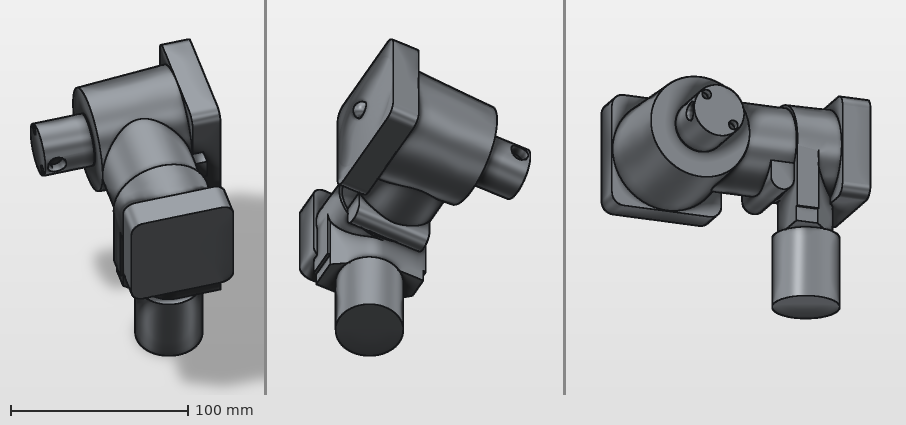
import cadquery as cq
import math


pipe_radius = 26.0
pipe_end = 58.2
lug_width = 14.0
lug_half_depth = 22.5
lug_bottom = -29.5

barrel_half_length = pipe_radius
barrel_front_radius = 29.9
barrel_back_radius = 32.7
boss_length = 0.5
flange_side = 66.3
flange_thickness = 16.5
corner_radius = 7.0
dome_rise = 2.2
button_radius = 5.0
button_wall_top = 45.4
button_top = 49.5
tab_end = 41.1
tab_back = 32.2
tab_height = 11.3

shaft_radius = 15.1
shaft_front = -55.2
cross_hole_radius = 5.4
cross_hole_depth = 6.7
cross_hole_from_end = 6.9
pin_hole_radius = 2.7
pin_hole_depth = 5.4
pin_hole_centers = [(-7.5, 8.6), (8.6, -7.7)]

collar_length = 26.4
collar_small_radius = 27.9
collar_large_radius = 28.4
plate_side = 60.0
socket_end = 101.5
bracket_half_width = pipe_radius
bracket_bottom = -48.5
bracket_front_length = 12.8
bracket_back_length = 16.7
bracket_round_radius = 15.5
cheek_half_width = 27.6
cheek_bottom = -40.0

post_center_x = 74.1
post_radius = 19.1
post_bottom = -89.7

flange_back = barrel_half_length + flange_thickness
dome_top = flange_back + dome_rise
shaft_back = -barrel_half_length - boss_length
plate_start = pipe_end + collar_length
bracket_center_x = pipe_end + bracket_round_radius
bracket_end = bracket_center_x + bracket_round_radius


def make_barrel():
    """Barrel that widens from its front face to the flange, with a short boss in front."""
    return (
        cq.Workplane("XY")
        .moveTo(0, shaft_back)
        .lineTo(shaft_radius, shaft_back)
        .lineTo(shaft_radius, -barrel_half_length)
        .lineTo(barrel_front_radius, -barrel_half_length)
        .lineTo(barrel_back_radius, barrel_half_length)
        .lineTo(0, barrel_half_length)
        .close()
        .revolve(360, (0, 0, 0), (0, 1, 0))
    )


def make_domed_disc(radius, wall_top, top):
    """Disc from the flange's front face backwards, with a straight wall and then a spherical end."""
    rise = top - wall_top
    sphere_radius = (radius**2 + rise**2) / (2 * rise)
    middle_radius = radius / 2
    middle_height = top - sphere_radius + math.sqrt(sphere_radius**2 - middle_radius**2)
    return (
        cq.Workplane("XY")
        .moveTo(0, barrel_half_length)
        .lineTo(radius, barrel_half_length)
        .lineTo(radius, wall_top)
        .threePointArc((middle_radius, middle_height), (0, top))
        .close()
        .revolve(360, (0, 0, 0), (0, 1, 0))
    )


def make_tab():
    """Tab beside the flange that rests on the back of the pipe."""
    tab = cq.Workplane("XY").box(tab_end, tab_back, tab_height, centered=(False, False, True))
    return tab.cut(make_pipe_cylinder())


def make_pipe_cylinder():
    return cq.Workplane("YZ").circle(pipe_radius).extrude(pipe_end)


def make_housing():
    flange = (
        cq.Workplane("XZ", origin=(0, barrel_half_length, 0))
        .rect(flange_side, flange_side)
        .extrude(-flange_thickness)
        .edges("|Y")
        .fillet(corner_radius)
    )
    dome = make_domed_disc(flange_side / 2, flange_back, dome_top)
    button = make_domed_disc(button_radius, button_wall_top, button_top)
    return make_barrel().union(flange).union(dome).union(button).union(make_tab())


def make_shaft():
    shaft_length = shaft_back - shaft_front
    shaft = cq.Workplane("XZ", origin=(0, shaft_back, 0)).circle(shaft_radius).extrude(shaft_length)
    cross_hole_y = shaft_front + cross_hole_from_end
    for side in (-1, 1):
        cross_hole = (
            cq.Workplane("YZ", origin=(side * shaft_radius, cross_hole_y, 0))
            .circle(cross_hole_radius)
            .extrude(-side * cross_hole_depth)
        )
        shaft = shaft.cut(cross_hole)
    pin_holes = (
        cq.Workplane("XZ", origin=(0, shaft_front, 0))
        .pushPoints(pin_hole_centers)
        .circle(pin_hole_radius)
        .extrude(-pin_hole_depth)
    )
    return shaft.cut(pin_holes)


def make_lug():
    """Lug with a half-round lower end, hanging below the pipe against the socket."""
    lug_radius = lug_width / 2
    lug_start = pipe_end - lug_width
    round_center_z = lug_bottom + lug_radius
    return (
        cq.Workplane("XZ")
        .moveTo(lug_start, 0)
        .lineTo(lug_start, round_center_z)
        .threePointArc((lug_start + lug_radius, lug_bottom), (pipe_end, round_center_z))
        .lineTo(pipe_end, 0)
        .close()
        .extrude(lug_half_depth, both=True)
    )


def make_pipe(housing):
    """Pipe whose inner end is shaped to the barrel that it meets."""
    return make_pipe_cylinder().union(make_lug()).cut(housing)


def tangent_angle(corner):
    """Angle at which a line from the corner touches the bracket's round, counterclockwise of the corner."""
    offset_x = corner[0] - bracket_center_x
    offset_y = corner[1]
    spread = math.acos(bracket_round_radius / math.hypot(offset_x, offset_y))
    return math.atan2(offset_y, offset_x) + spread


def round_point(angle):
    return (
        bracket_center_x + bracket_round_radius * math.cos(angle),
        bracket_round_radius * math.sin(angle),
    )


def make_bracket():
    """Block under the collar whose two sloping sides run tangent into the same round."""
    front_corner = (pipe_end + bracket_front_length, -bracket_half_width)
    back_corner = (bracket_end - bracket_back_length, bracket_half_width)
    front_angle = tangent_angle(front_corner)
    back_angle = tangent_angle(back_corner)
    return (
        cq.Workplane("XY", origin=(0, 0, bracket_bottom))
        .moveTo(pipe_end, -bracket_half_width)
        .lineTo(*front_corner)
        .lineTo(*round_point(front_angle))
        .threePointArc(round_point(front_angle / 2), (bracket_end, 0))
        .lineTo(bracket_end, bracket_half_width)
        .lineTo(*back_corner)
        .lineTo(*round_point(back_angle))
        .threePointArc(round_point((back_angle + math.pi) / 2), (pipe_end, 0))
        .close()
        .extrude(-bracket_bottom)
    )


def make_cheek(start, length, side):
    """Thin pad on one end of the bracket, running up into the collar."""
    thickness = cheek_half_width - bracket_half_width
    middle_y = side * (bracket_half_width + thickness / 2)
    return cq.Workplane("XY", origin=(start, middle_y, cheek_bottom)).box(
        length, thickness, -cheek_bottom, centered=(False, True, False)
    )


def make_socket():
    collar = (
        cq.Workplane("XY")
        .moveTo(pipe_end, 0)
        .lineTo(pipe_end, collar_small_radius)
        .lineTo(plate_start, collar_large_radius)
        .lineTo(plate_start, 0)
        .close()
        .revolve(360, (0, 0, 0), (1, 0, 0))
    )
    plate = (
        cq.Workplane("YZ", origin=(plate_start, 0, 0))
        .rect(plate_side, plate_side)
        .extrude(socket_end - plate_start)
        .edges("|X")
        .fillet(corner_radius)
    )
    front_cheek = make_cheek(pipe_end, bracket_front_length, -1)
    back_cheek = make_cheek(bracket_end - bracket_back_length, bracket_back_length, 1)
    return collar.union(plate).union(make_bracket()).union(front_cheek).union(back_cheek)


def make_post():
    post_height = bracket_bottom - post_bottom
    return (
        cq.Workplane("XY", origin=(post_center_x, 0, post_bottom))
        .circle(post_radius)
        .extrude(post_height)
    )


housing = make_housing()
shaft = make_shaft()
pipe = make_pipe(housing)
socket = make_socket()
post = make_post()

result = cq.Compound.makeCompound(
    [housing.val(), shaft.val(), pipe.val(), socket.val(), post.val()]
)